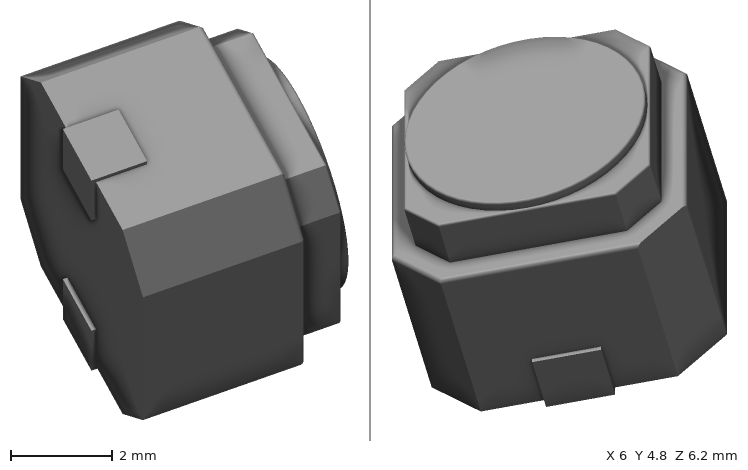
import cadquery as cq

BODY_SIZE = 6.0
BODY_DEPTH = 3.5
BODY_CORNER = 1.0
BODY_EDGE_RADIUS = 0.1

COLLAR_SIZE = 5.0
COLLAR_DEPTH = 1.0
COLLAR_CORNER = 0.7
COLLAR_EDGE_RADIUS = 0.05

BUTTON_DIAMETER = 4.9
BUTTON_DEPTH = 0.2
BUTTON_EDGE_RADIUS = 0.05

TERMINAL_THICKNESS = 0.1
TERMINAL_WIDTH = 1.4
TERMINAL_HEIGHT = 1.3
TERMINAL_DEPTH = 1.2

BODY_FRONT = TERMINAL_THICKNESS
BODY_BACK = BODY_FRONT + BODY_DEPTH
COLLAR_BACK = BODY_BACK + COLLAR_DEPTH


def plane_at(y):
    """XZ sketch plane at the given Y, with its normal pointing toward +Y."""
    return cq.Plane(origin=(0, y, 0), xDir=(1, 0, 0), normal=(0, 1, 0))


def octagonal_block(size, depth, corner, y):
    """Square block with cut corners, extruded toward +Y from the given Y."""
    block = cq.Workplane(plane_at(y)).rect(size, size).extrude(depth)
    return block.edges("|Y").chamfer(corner)


def housing():
    """Main body with a rounded +Y rim.

    At the (-X, -Z) corner cut the rim stays sharp; the rounding turns instead
    along the full depth of the edge between that cut and the -X face.
    """
    block = octagonal_block(BODY_SIZE, BODY_DEPTH, BODY_CORNER, BODY_FRONT)
    corner_edge = block.faces("<X").edges("|Y").edges("<Z")
    rounded_rim = block.faces(">Y").edges("not <(1, 0, 1)")
    return rounded_rim.add(corner_edge).fillet(BODY_EDGE_RADIUS)


def collar():
    """Smaller block behind the body, with its whole +Y rim rounded."""
    block = octagonal_block(COLLAR_SIZE, COLLAR_DEPTH, COLLAR_CORNER, BODY_BACK)
    return block.faces(">Y").edges().fillet(COLLAR_EDGE_RADIUS)


def button():
    """Shallow round disc on the back of the collar."""
    disc = cq.Workplane(plane_at(COLLAR_BACK)).circle(BUTTON_DIAMETER / 2).extrude(BUTTON_DEPTH)
    return disc.faces(">Y").edges().fillet(BUTTON_EDGE_RADIUS)


def terminal(side):
    """L-shaped strip wrapped around the front edge; side is +1 for top, -1 for bottom."""
    inner = side * BODY_SIZE / 2
    outer = inner + side * TERMINAL_THICKNESS
    tip = outer - side * TERMINAL_HEIGHT
    profile = [
        (0, outer),
        (TERMINAL_DEPTH, outer),
        (TERMINAL_DEPTH, inner),
        (BODY_FRONT, inner),
        (BODY_FRONT, tip),
        (0, tip),
    ]
    return cq.Workplane("YZ").polyline(profile).close().extrude(TERMINAL_WIDTH / 2, both=True)


result = housing().union(collar()).union(button())
for side in (1, -1):
    result = result.union(terminal(side))